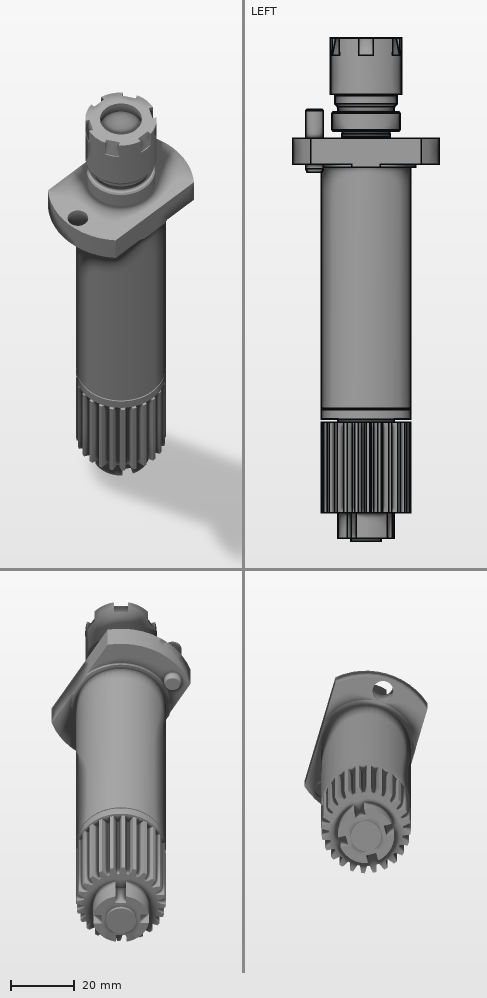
import cadquery as cq
import math

STUB_BOTTOM = 1.0
PULLEY_BOTTOM = 9.0
PULLEY_TOP = 37.4
RING_BOTTOM = 38.3
RING_TOP = 41.3
BODY_BOTTOM = 41.8
PILOT_BOTTOM = 117.1
FLANGE_BOTTOM = 118.0
FLANGE_TOP = 126.2
NECK_BAND_BOTTOM = 126.7
NECK_BAND_TOP = 127.7
COLLAR_BOTTOM = 128.5
COLLAR_TOP = 134.5
SHOULDER_BOTTOM = 136.0
NUT_BOTTOM = 140.0
NUT_TOP = 157.6

TIP_RADIUS = 4.7
SHAFT_RADIUS = 8.8
BODY_RADIUS = 14.0
RING_GROOVE_DEPTH = 0.5
PILOT_RADIUS = 15.6
NECK_BAND_RADIUS = 7.5
NECK_RADIUS = 7.4
COLLAR_RADIUS = 10.7
COLLAR_CHAMFER = 0.5
SHOULDER_RADIUS = 9.8
SHOULDER_TOP_CHAMFER = 0.5
NUT_RADIUS = 11.2

FLANGE_LENGTH = 45.9
FLANGE_RADIUS = FLANGE_LENGTH / 2
FLANGE_WIDTH = 30.0
BOLT_HOLE_DIAMETER = 6.5
BOLT_HOLE_OFFSET = 19.0
PIN_DIAMETER = 5.5
PIN_CIRCLE_RADIUS = 18.6
PIN_ANGLE = 120
PIN_BOTTOM = 115.5
PIN_TOP = 135.2
PIN_CHAMFER = 0.5
PIN_LEAD_IN_HEIGHT = 1.1

BORE_DIAMETER = 13.1
BORE_DEPTH = 3.8
NOTCH_COUNT = 6
NOTCH_WIDTH = 4.4
NOTCH_TOP_RADIUS = 9.6
NOTCH_FOOT_RADIUS = 10.9
NOTCH_DEPTH = 5.4

TOOTH_COUNT = 24
TOOTH_ROOT_RADIUS = 11.7
TOOTH_TIP_HALF_ANGLE = 2.3
TOOTH_BASE_HALF_ANGLE = 5.6
FIRST_TOOTH_ANGLE = 2.7

SLOT_COUNT = 4
SLOT_WIDTH = 3.3
SLOT_FLOOR_RADIUS = 6.1
FIRST_SLOT_ANGLE = 59


def cylinder(radius, bottom, top):
    return cq.Workplane("XY").workplane(offset=bottom).circle(radius).extrude(top - bottom)


def polar_point(radius, degrees):
    angle = math.radians(degrees)
    return (radius * math.cos(angle), radius * math.sin(angle))


def radial_slots(count, first_angle, width, foot_radius, top_radius, outer_radius, bottom, top):
    """Cutters around the axis whose flat back runs from foot_radius up to top_radius."""
    profile = [(foot_radius, bottom), (outer_radius, bottom), (outer_radius, top), (top_radius, top)]
    slot = cq.Workplane("XZ").polyline(profile).close().extrude(width / 2, both=True)
    cutters = cq.Workplane("XY")
    for index in range(count):
        cutters = cutters.add(slot.rotate((0, 0, 0), (0, 0, 1), first_angle + index * 360 / count))
    return cutters.combine()


def make_stub():
    slots = radial_slots(
        SLOT_COUNT, FIRST_SLOT_ANGLE, SLOT_WIDTH,
        SLOT_FLOOR_RADIUS, SLOT_FLOOR_RADIUS, 2 * SHAFT_RADIUS,
        STUB_BOTTOM, PULLEY_BOTTOM,
    )
    stub = cylinder(SHAFT_RADIUS, STUB_BOTTOM, PULLEY_BOTTOM).cut(slots)
    return stub.union(cylinder(TIP_RADIUS, 0, PULLEY_BOTTOM))


def make_pulley():
    corners = (
        (TOOTH_ROOT_RADIUS, -TOOTH_BASE_HALF_ANGLE),
        (BODY_RADIUS, -TOOTH_TIP_HALF_ANGLE),
        (BODY_RADIUS, TOOTH_TIP_HALF_ANGLE),
        (TOOTH_ROOT_RADIUS, TOOTH_BASE_HALF_ANGLE),
    )
    outline = []
    for index in range(TOOTH_COUNT):
        tooth_angle = FIRST_TOOTH_ANGLE + index * 360 / TOOTH_COUNT
        for radius, offset in corners:
            outline.append(polar_point(radius, tooth_angle + offset))
    pulley = cq.Workplane("XY").workplane(offset=PULLEY_BOTTOM).polyline(outline).close()
    return pulley.extrude(PULLEY_TOP - PULLEY_BOTTOM)


def make_body():
    body = cylinder(SHAFT_RADIUS, PULLEY_TOP, RING_BOTTOM)
    body = body.union(cylinder(BODY_RADIUS, RING_BOTTOM, RING_TOP))
    body = body.union(cylinder(BODY_RADIUS - RING_GROOVE_DEPTH, RING_TOP, BODY_BOTTOM))
    return body.union(cylinder(BODY_RADIUS, BODY_BOTTOM, PILOT_BOTTOM))


def make_flange():
    flange = cylinder(FLANGE_RADIUS, FLANGE_BOTTOM, FLANGE_TOP)
    flange = flange.union(cylinder(PILOT_RADIUS, PILOT_BOTTOM, FLANGE_BOTTOM))
    flats = (
        cq.Workplane("XY")
        .workplane(offset=PILOT_BOTTOM)
        .rect(FLANGE_WIDTH, FLANGE_LENGTH)
        .extrude(FLANGE_TOP - PILOT_BOTTOM)
    )
    bolt_hole = cylinder(BOLT_HOLE_DIAMETER / 2, PILOT_BOTTOM, FLANGE_TOP)
    return flange.intersect(flats).cut(bolt_hole.translate((0, -BOLT_HOLE_OFFSET, 0)))


def make_pin():
    pin_x, pin_y = polar_point(PIN_CIRCLE_RADIUS, PIN_ANGLE)
    pin = cylinder(PIN_DIAMETER / 2, PIN_BOTTOM + PIN_LEAD_IN_HEIGHT, PIN_TOP)
    pin = pin.faces(">Z").edges().chamfer(PIN_CHAMFER)
    lead_in = (
        cq.Workplane("XY")
        .workplane(offset=PIN_BOTTOM)
        .circle(PIN_DIAMETER / 2 - PIN_CHAMFER)
        .workplane(offset=PIN_LEAD_IN_HEIGHT)
        .circle(PIN_DIAMETER / 2)
        .loft()
    )
    pin = pin.union(lead_in)
    return pin.translate((pin_x, pin_y, 0))


def make_neck():
    neck = cylinder(NECK_RADIUS, FLANGE_TOP, COLLAR_BOTTOM)
    neck = neck.union(cylinder(NECK_BAND_RADIUS, NECK_BAND_BOTTOM, NECK_BAND_TOP))
    neck = neck.union(cylinder(COLLAR_RADIUS, COLLAR_BOTTOM, COLLAR_TOP).edges().chamfer(COLLAR_CHAMFER))
    neck = neck.union(cylinder(SHAFT_RADIUS, COLLAR_TOP, SHOULDER_BOTTOM))
    shoulder = cylinder(SHOULDER_RADIUS, SHOULDER_BOTTOM, NUT_BOTTOM)
    shoulder = shoulder.faces("<Z").edges().chamfer(SHOULDER_RADIUS - SHAFT_RADIUS)
    shoulder = shoulder.faces(">Z").edges().chamfer(SHOULDER_TOP_CHAMFER)
    return neck.union(shoulder)


def make_nut():
    nut = cylinder(NUT_RADIUS, NUT_BOTTOM, NUT_TOP)
    nut = nut.cut(cylinder(BORE_DIAMETER / 2, NUT_TOP - BORE_DEPTH, NUT_TOP))
    notches = radial_slots(
        NOTCH_COUNT, 0, NOTCH_WIDTH,
        NOTCH_FOOT_RADIUS, NOTCH_TOP_RADIUS, 2 * NUT_RADIUS,
        NUT_TOP - NOTCH_DEPTH, NUT_TOP,
    )
    return nut.cut(notches)


result = make_stub()
for section in (make_pulley(), make_body(), make_flange(), make_pin(), make_neck(), make_nut()):
    result = result.union(section)